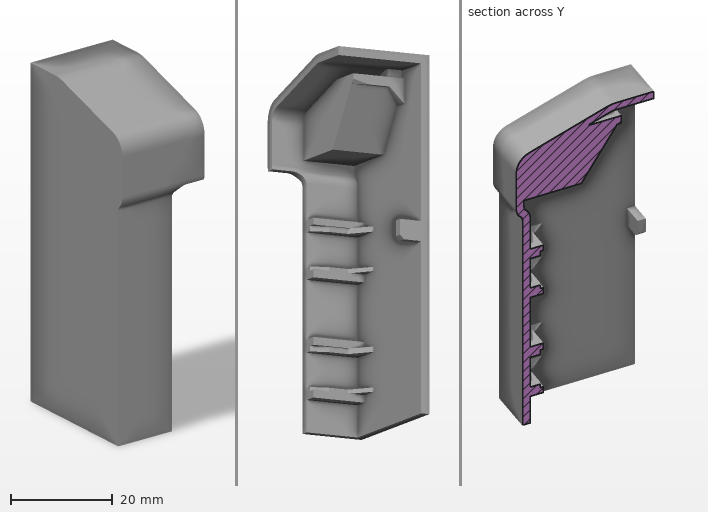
import cadquery as cq
import math

height = 71.8
width = 30.3
depth = 20.0
thickness = 1.8

body_width = 28.9
roof_flat = 9.3
roof_angle = 18.0
roof_blend_radius = 6.8
shoulder_radius = 4.4
head_bottom = 51.8
step_bottom = 50.5
head_blend_radius = 3.1
step_blend_radius = 1.2

wall_depth = 13.1
head_wall_bottom = 52.1
wall_corner_radius = 2.9

rib_projection = 2.9
hook_recess = 0.4
rib_levels = [
    (42.4, 41.1, 40.0),
    (30.5, 32.1, 32.95),
    (18.6, 17.0, 15.95),
    (6.45, 8.0, 8.8),
]
gusset_reach = 4.3
hook_start = 5.2
hook_end = 9.3
hook_set_back = 1.1

wedge_front = 7.2
wedge_run = 7.9
wedge_top = 68.3
wedge_front_bottom = 66.35
wedge_bottom = 54.6
bridge_set_back = 0.7
bridge_start = 2.1
bridge_end = 5.1
gusset_bottom = 63.2
bevel_start = 9.55
bevel_height = 0.85
bevel_run = 0.85

tab_bottom = 34.45
tab_top = 38.5
tab_reach = 6.45
tab_chamfer = 0.85

shoulder_height = height - (width - roof_flat) * math.tan(math.radians(roof_angle))
inner_wall = body_width - thickness
inner_head = width - thickness


def box(x0, x1, y0, y1, z0, z1):
    """Axis-aligned block given by its limits."""
    return cq.Workplane("XY").box(x1 - x0, y1 - y0, z1 - z0, centered=False).translate((x0, y0, z0))


def side_profile(length, inset=0.0):
    """Side outline, extended past the open edges by the inset, extruded toward +Y."""
    outline = (
        cq.Workplane("XZ")
        .polyline([
            (-inset, -inset),
            (body_width, -inset),
            (body_width, step_bottom),
            (width, head_bottom),
            (width, shoulder_height),
            (roof_flat, height),
            (-inset, height),
        ])
        .close()
        .extrude(-length)
    )

    def round_edge(solid, x, z, radius):
        edge = cq.selectors.NearestToPointSelector((x, length / 2, z))
        return solid.edges("|Y").edges(edge).fillet(radius)

    outline = round_edge(outline, roof_flat, height, roof_blend_radius)
    outline = round_edge(outline, width, shoulder_height, shoulder_radius)
    outline = round_edge(outline, width, head_bottom, head_blend_radius)
    return round_edge(outline, body_width, step_bottom, step_blend_radius)


def make_shell():
    """Side plate with roof and back wall, open toward -X, -Z and +Y."""
    outer = side_profile(depth)
    inner = side_profile(depth, thickness).faces("<Y").wires().toPending()
    cavity = inner.workplane().offset2D(-thickness).extrude(-depth, combine=False)
    cavity = cavity.translate((0, thickness, 0))
    return outer.cut(cavity)


def wall_cutback():
    """Space that narrows the back wall below the head, with a rounded inner corner."""
    return (
        cq.Workplane("YZ")
        .moveTo(wall_depth, 0)
        .lineTo(wall_depth, head_wall_bottom - wall_corner_radius)
        .radiusArc((wall_depth + wall_corner_radius, head_wall_bottom), wall_corner_radius)
        .lineTo(depth, head_wall_bottom)
        .lineTo(depth, 0)
        .close()
        .extrude(width)
    )


def snap_rib(outer_z, inner_z, tip_z):
    """Rib across the back wall with a hook on its inner face."""
    front = inner_wall - rib_projection
    rib = box(front, body_width, thickness, wall_depth, min(outer_z, inner_z), max(outer_z, inner_z))
    crest = front + hook_recess
    hook = (
        cq.Workplane("XY", origin=(0, 0, inner_z))
        .polyline([
            (inner_wall, thickness),
            (crest - gusset_reach, thickness),
            (crest, hook_start),
            (crest, hook_end),
            (crest + hook_set_back, wall_depth),
            (inner_wall, wall_depth),
        ])
        .close()
        .extrude(tip_z - inner_z)
    )
    return rib.union(hook)


def wedge_bevel():
    """Tetrahedron that bevels the lower front corner of the wedge on its open side."""
    start = (wedge_front, bevel_start, wedge_front_bottom)
    upper = (wedge_front, wall_depth, wedge_front_bottom + bevel_height)
    back = (wedge_front + bevel_run, wall_depth, wedge_front_bottom)
    corner = (wedge_front, wall_depth, wedge_front_bottom)
    triangles = [
        (start, upper, back),
        (start, corner, upper),
        (start, back, corner),
        (upper, corner, back),
    ]
    faces = []
    for triangle in triangles:
        wire = cq.Wire.makePolygon([cq.Vector(*point) for point in triangle], close=True)
        faces.append(cq.Face.makeFromWires(wire))
    return cq.Workplane(obj=cq.Solid.makeSolid(cq.Shell.makeShell(faces)))


def make_wedge():
    """Sloping block in the head, with a gusset on the plate and a bridge to the roof."""
    slope_start = wedge_front + bevel_run
    wedge = (
        cq.Workplane("XZ", origin=(0, thickness, 0))
        .polyline([
            (wedge_front, wedge_top),
            (wedge_front, wedge_front_bottom),
            (slope_start, wedge_front_bottom),
            (slope_start + wedge_run, wedge_bottom),
            (inner_head, wedge_bottom),
            (inner_head, wedge_top),
        ])
        .close()
        .extrude(thickness - wall_depth)
        .cut(wedge_bevel())
    )
    gusset = (
        cq.Workplane("YZ", origin=(wedge_front, 0, 0))
        .polyline([
            (thickness, wedge_front_bottom),
            (bridge_end, wedge_front_bottom),
            (thickness, gusset_bottom),
        ])
        .close()
        .extrude(inner_head - wedge_front)
    )
    bridge = box(wedge_front + bridge_set_back, inner_head, bridge_start, bridge_end, wedge_top, height)
    return wedge.union(gusset).union(bridge)


def make_tab():
    """Tab on the plate edge, chamfered at its lower free corner."""
    return (
        cq.Workplane("YZ")
        .polyline([
            (0, tab_bottom),
            (tab_reach - tab_chamfer, tab_bottom),
            (tab_reach, tab_bottom + tab_chamfer),
            (tab_reach, tab_top),
            (0, tab_top),
        ])
        .close()
        .extrude(thickness)
    )


result = make_shell().cut(wall_cutback())
for levels in rib_levels:
    result = result.union(snap_rib(*levels))

result = result.union(make_wedge().intersect(side_profile(depth)))
result = result.union(make_tab())